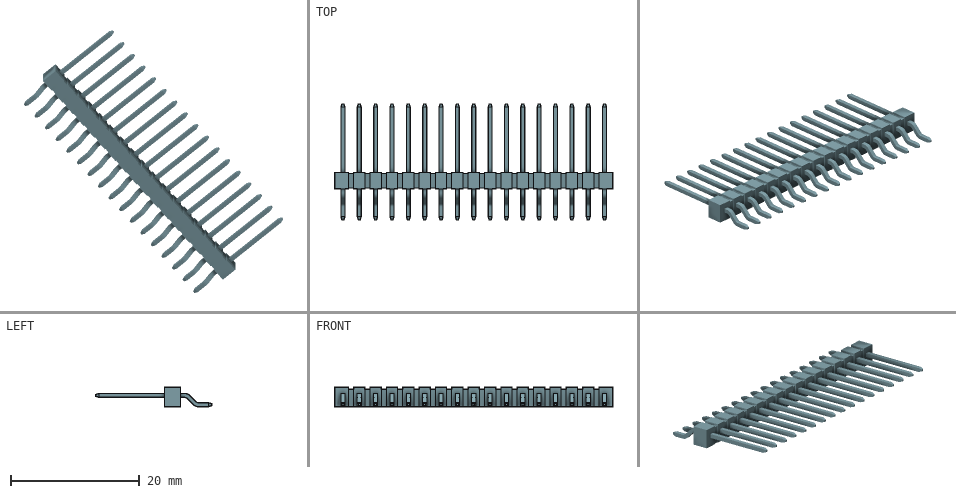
import cadquery as cq
import math

position_count = 17
row_length = 43.2
pitch = row_length / position_count

housing_height = 3.05
housing_front = 4.85
housing_depth = 2.55
groove_width = 0.78
groove_top_depth = 0.3
groove_side_depth = 0.15

pin_size = 0.65
pin_length = 18.05
pin_axis_z = 1.75
tip_length = 0.5
tip_size = 0.3
foot_length = 2.07
crank_angle = 45.0
bend_inner_radius = 0.5


def make_block(width, depth, height):
    """Block standing on Z = 0, centred on X = 0, with its front face at Y = 0."""
    return cq.Workplane("XY").box(width, depth, height, centered=(True, False, False))


def make_groove():
    """Material removed between two positions: over the top and down both long sides."""
    waist_depth = housing_depth - 2 * groove_side_depth
    waist_height = housing_height - groove_top_depth
    waist = make_block(groove_width, waist_depth, waist_height).translate((0, groove_side_depth, 0))
    return make_block(groove_width, housing_depth, housing_height).cut(waist)


def make_housing():
    """Long block, starting at X = 0, grooved between neighbouring positions."""
    housing = make_block(row_length, housing_depth, housing_height).translate((row_length / 2, 0, 0))
    groove = make_groove()
    for index in range(1, position_count):
        housing = housing.cut(groove.translate((index * pitch, 0, 0)))
    return housing.translate((0, housing_front, 0))


def make_tip(base_y, axis_z, direction):
    """Tapered pin end that starts at base_y and points along +Y or -Y."""
    plane = cq.Plane(origin=(0, base_y, axis_z), xDir=(1, 0, 0), normal=(0, direction, 0))
    return (
        cq.Workplane(plane)
        .rect(pin_size, pin_size)
        .workplane(offset=tip_length)
        .rect(tip_size, tip_size)
        .loft()
    )


def arc_offset(radius, angle):
    """Run and rise from the start of an arc to the point where it has turned by the angle."""
    return radius * math.sin(angle), radius * (1 - math.cos(angle))


def make_pin():
    """Pin centred on X = 0, with its front tip at Y = 0."""
    foot_axis_z = pin_size / 2
    shank_end_y = pin_length - tip_length
    angle = math.radians(crank_angle)

    bend_radius = bend_inner_radius + pin_size / 2
    bend_run, bend_rise = arc_offset(bend_radius, angle)
    middle_run, middle_rise = arc_offset(bend_radius, angle / 2)

    slope_height = pin_axis_z - foot_axis_z - 2 * bend_rise
    slope_run = slope_height / math.tan(angle)
    shank_start_y = foot_length + 2 * bend_run + slope_run

    axis_path = (
        cq.Workplane("YZ")
        .moveTo(tip_length, foot_axis_z)
        .lineTo(foot_length, foot_axis_z)
        .threePointArc(
            (foot_length + middle_run, foot_axis_z + middle_rise),
            (foot_length + bend_run, foot_axis_z + bend_rise),
        )
        .lineTo(shank_start_y - bend_run, pin_axis_z - bend_rise)
        .threePointArc(
            (shank_start_y - middle_run, pin_axis_z - middle_rise),
            (shank_start_y, pin_axis_z),
        )
        .lineTo(shank_end_y, pin_axis_z)
    )
    wire = (
        cq.Workplane("XZ", origin=(0, tip_length, foot_axis_z))
        .rect(pin_size, pin_size)
        .sweep(axis_path)
    )
    front_tip = make_tip(tip_length, foot_axis_z, -1)
    back_tip = make_tip(shank_end_y, pin_axis_z, 1)
    return wire.union(front_tip).union(back_tip)


def make_header():
    """Housing and its row of pins, joined into one body."""
    header = make_housing()
    pin = make_pin()
    for index in range(position_count):
        header = header.union(pin.translate(((index + 0.5) * pitch, 0, 0)))
    return header


header = make_header()

result = cq.Compound.makeCompound([header.val()])